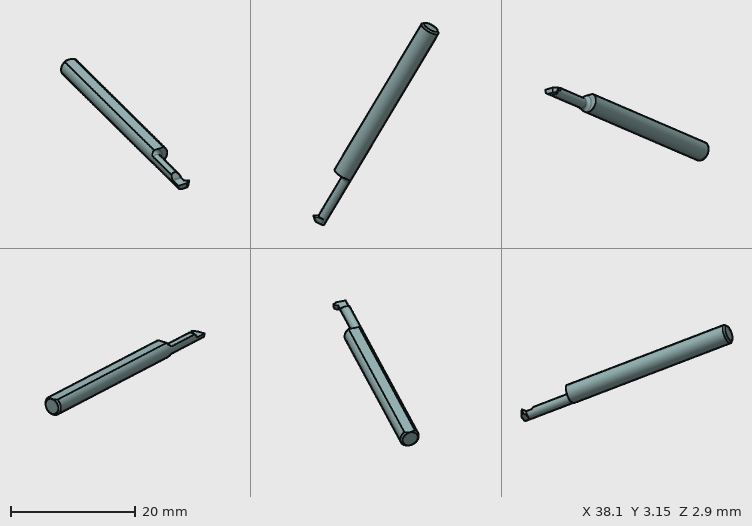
import cadquery as cq
import math

length = 38.1
shank_radius = 3.15 / 2
shank_length = 29.07
flat_height = 2.9 - shank_radius
end_chamfer = 0.3

neck_radius = 1.7 / 2
neck_center_y = -0.88
flare_radius = 0.57

ramp_start = 35.5
ramp_angle = 50.0
ramp_fillet = 0.2
tooth_center_x = 37.6
tooth_peak_y = 0.7
tooth_half_width = 0.42
tooth_crest_width = 0.08

neck_side_y = neck_center_y + neck_radius


def make_shank_outline():
    """Full-length round bar with a chamfered back end and a flat along the top."""
    bar = cq.Workplane("YZ").circle(shank_radius).extrude(length)
    bar = bar.faces("<X").chamfer(end_chamfer)
    below_flat = cq.Workplane("XY").box(
        length, 2 * shank_radius, flat_height + shank_radius, centered=(False, True, False)
    ).translate((0, 0, -shank_radius))
    return bar.intersect(below_flat)


def make_neck():
    """Round neck whose root flares into the shank shoulder with a concave arc."""
    root_y = neck_side_y + flare_radius
    arc_offset = flare_radius * (1 - math.sqrt(0.5))
    arc_middle = (shank_length + arc_offset, neck_side_y + arc_offset)
    return (
        cq.Workplane("XY")
        .moveTo(shank_length, neck_center_y)
        .lineTo(shank_length, root_y)
        .threePointArc(arc_middle, (shank_length + flare_radius, neck_side_y))
        .lineTo(length, neck_side_y)
        .lineTo(length, neck_center_y)
        .close()
        .revolve(360, (0, neck_center_y), (1, neck_center_y))
    )


def make_tooth():
    """Pointed cutting tooth, relieved below its edge by a cylinder about the neck axis."""
    half_crest = tooth_crest_width / 2
    tooth = (
        cq.Workplane("XY")
        .polyline([
            (tooth_center_x - tooth_half_width, neck_center_y),
            (tooth_center_x - tooth_half_width, neck_side_y),
            (tooth_center_x - half_crest, tooth_peak_y),
            (tooth_center_x + half_crest, tooth_peak_y),
            (length, neck_side_y),
            (length, neck_center_y),
        ])
        .close()
        .extrude(-neck_radius)
    )
    relief = (
        cq.Workplane("YZ")
        .center(neck_center_y, 0)
        .circle(tooth_peak_y - neck_center_y)
        .extrude(length)
    )
    return tooth.intersect(relief)


def make_rake_cut():
    """Material removed above the rake face (Z = 0), with a ramp up to the neck's top."""
    slope = math.tan(math.radians(ramp_angle))
    ramp_end = ramp_start + neck_radius / slope
    cut_top = shank_radius
    cut_top_x = ramp_end - cut_top / slope
    cut = (
        cq.Workplane("XZ")
        .polyline([(cut_top_x, cut_top), (ramp_end, 0), (length, 0), (length, cut_top)])
        .close()
        .extrude(shank_radius, both=True)
    )
    ramp_foot = cq.selectors.NearestToPointSelector((ramp_end, 0, 0))
    return cut.edges(ramp_foot).fillet(ramp_fillet)


outline = make_shank_outline()
shank = outline.intersect(
    cq.Workplane("YZ").rect(4 * shank_radius, 4 * shank_radius).extrude(shank_length)
)
neck = make_neck().intersect(outline)
result = shank.union(neck).cut(make_rake_cut()).union(make_tooth().intersect(outline))